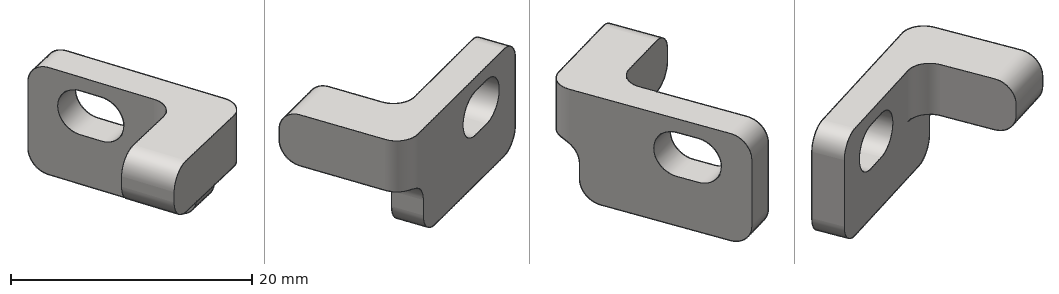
import cadquery as cq

length = 19.03
depth = 12.0
height = 10.5
plate_thickness = 3.0
plate_length = 16.08
arm_size = 5.0
corner_radius = 2.0

slot_diameter = 4.3
slot_straight = 2.0
slot_center_x = 6.0
slot_center_drop = 3.5

arm_bottom = height - arm_size
arm_left = length - arm_size
plate_front = depth - plate_thickness


def make_plate():
    """Upright plate with a step in its lower right corner."""
    outline = [
        (0, 0),
        (plate_length, 0),
        (plate_length, arm_bottom),
        (length, arm_bottom),
        (length, height),
        (0, height),
    ]
    plate = cq.Workplane("XZ", origin=(0, depth, 0)).polyline(outline).close().extrude(plate_thickness)
    rounded_corners = [(0, 0), (0, height), (plate_length, 0), (plate_length, arm_bottom)]
    for x, z in rounded_corners:
        edge = cq.selectors.NearestToPointSelector((x, depth - plate_thickness / 2, z))
        plate = plate.edges("|Y").edges(edge).fillet(corner_radius)
    return plate


def make_arm():
    """Square arm reaching forward from the plate, rounded at its free end."""
    arm = cq.Workplane("XY").box(arm_size, depth, arm_size, centered=False)
    arm = arm.translate((arm_left, 0, arm_bottom))
    return arm.faces("<Y").edges("|X").fillet(corner_radius)


def make_inside_corner():
    """Concave fillet between the plate's front face and the arm's left side."""
    return (
        cq.Workplane("XY", origin=(0, 0, arm_bottom))
        .moveTo(arm_left, plate_front)
        .lineTo(arm_left - corner_radius, plate_front)
        .radiusArc((arm_left, plate_front - corner_radius), corner_radius)
        .close()
        .extrude(arm_size)
    )


def make_slot():
    """Rounded slot through the plate's thickness."""
    return (
        cq.Workplane("XZ", origin=(slot_center_x, depth, height - slot_center_drop))
        .slot2D(slot_straight + slot_diameter, slot_diameter)
        .extrude(plate_thickness)
    )


bracket = make_plate().union(make_arm()).union(make_inside_corner())

outer_corner = cq.selectors.NearestToPointSelector((length, depth, height - arm_size / 2))
bracket = bracket.edges("|Z").edges(outer_corner).fillet(corner_radius)

result = bracket.cut(make_slot())